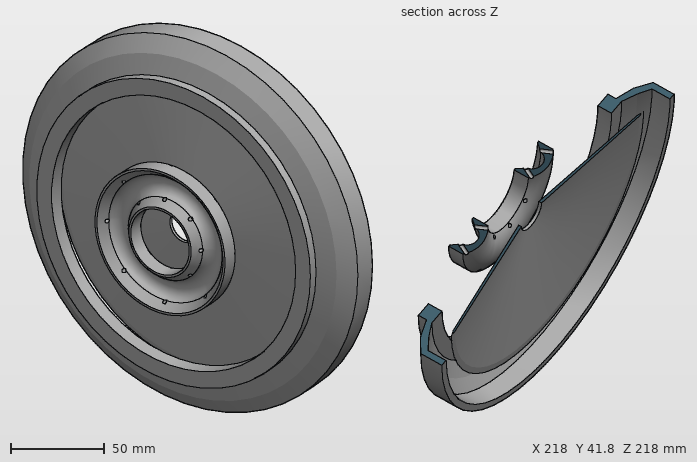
import cadquery as cq
import math

overall_radius = 109.0
overall_depth = 41.8
back_y = overall_depth / 2
front_y = -overall_depth / 2

frame_bore_radius = 79.3
frame_lip_radius = 89.0
frame_lip_front_y = -8.3
frame_lip_back_y = -3.0
frame_bend_radius = 99.8
frame_bend_y = 0.7
frame_rim_front_y = 7.2
frame_wall = 4.1

cone_hole_radius = 9.4
cone_edge_radius = 86.5
cone_centre_y = 1.7
cone_edge_y = 12.6
cone_bevel_width = 3.5
cone_bevel_depth = 1.3
cone_thickness = 2.0

hub_outer_radius = 42.3
hub_bore_radius = 19.0
hub_land = 1.3
hub_side_back_y = -11.5
hub_back_y = -7.2
channel_outer_radius = 36.8
channel_inner_radius = 24.2
channel_edge_y = -16.0
channel_floor_y = -10.7
channel_middle_radius = (channel_outer_radius + channel_inner_radius) / 2

vent_diameter = 2.2
vent_count = 8
vent_inset = 0.9
vent_start_y = -18.5
vent_length = 15.3
vent_tilt = 27.0


def turn(profile):
    """Revolve a closed radius/Y profile once around the Y axis."""
    return profile.close().revolve(360, (0, 0, 0), (0, 1, 0))


def make_frame():
    inner_radius = overall_radius - frame_wall
    return turn(
        cq.Workplane("XY")
        .moveTo(frame_bore_radius, frame_lip_front_y)
        .lineTo(frame_lip_radius, frame_lip_front_y)
        .lineTo(frame_lip_radius, frame_lip_back_y)
        .lineTo(frame_bend_radius, frame_bend_y)
        .lineTo(overall_radius, frame_rim_front_y)
        .lineTo(overall_radius, back_y)
        .lineTo(inner_radius, back_y)
        .lineTo(inner_radius, frame_rim_front_y + frame_wall / 2)
        .lineTo(frame_bend_radius - frame_wall / 2, frame_bend_y + frame_wall)
        .lineTo(frame_lip_radius, frame_bend_y)
        .lineTo(frame_bore_radius, frame_bend_y)
    )


def make_cone():
    rim_radius = cone_edge_radius + cone_bevel_width
    rim_y = cone_edge_y + cone_bevel_depth
    return turn(
        cq.Workplane("XY")
        .moveTo(cone_hole_radius, cone_centre_y)
        .lineTo(cone_edge_radius, cone_edge_y)
        .lineTo(rim_radius, rim_y)
        .lineTo(cone_edge_radius, rim_y)
        .lineTo(cone_hole_radius, cone_centre_y + cone_thickness)
    )


def vent_cutter(start_radius, tilt, turn_angle):
    """A pin starting in the channel and leaning radially by the tilt angle."""
    lean = math.radians(tilt)
    pin = cq.Solid.makeCylinder(
        vent_diameter / 2,
        vent_length,
        cq.Vector(start_radius, vent_start_y, 0),
        cq.Vector(math.sin(lean), math.cos(lean), 0),
    )
    return pin.rotate(cq.Vector(0, 0, 0), cq.Vector(0, 1, 0), turn_angle)


def make_hub():
    hub = turn(
        cq.Workplane("XY")
        .moveTo(hub_bore_radius, front_y)
        .lineTo(hub_bore_radius + hub_land, front_y)
        .lineTo(channel_inner_radius, channel_edge_y)
        .threePointArc((channel_middle_radius, channel_floor_y), (channel_outer_radius, channel_edge_y))
        .lineTo(hub_outer_radius - hub_land, front_y)
        .lineTo(hub_outer_radius, front_y)
        .lineTo(hub_outer_radius, hub_side_back_y)
        .threePointArc((channel_middle_radius, hub_back_y), (hub_bore_radius, hub_side_back_y))
    )
    setback = (channel_edge_y - vent_start_y) * math.tan(math.radians(vent_tilt))
    outer_start = channel_outer_radius + vent_inset - setback
    inner_start = channel_inner_radius - vent_inset + setback
    for index in range(vent_count):
        angle = index * 360 / vent_count
        hub = hub.cut(cq.Workplane(vent_cutter(outer_start, vent_tilt, angle)))
        hub = hub.cut(cq.Workplane(vent_cutter(inner_start, -vent_tilt, angle)))
    return hub.solids()


frame = make_frame()
cone = make_cone()
hub = make_hub()

result = cq.Compound.makeCompound([frame.val(), cone.val(), hub.val()])